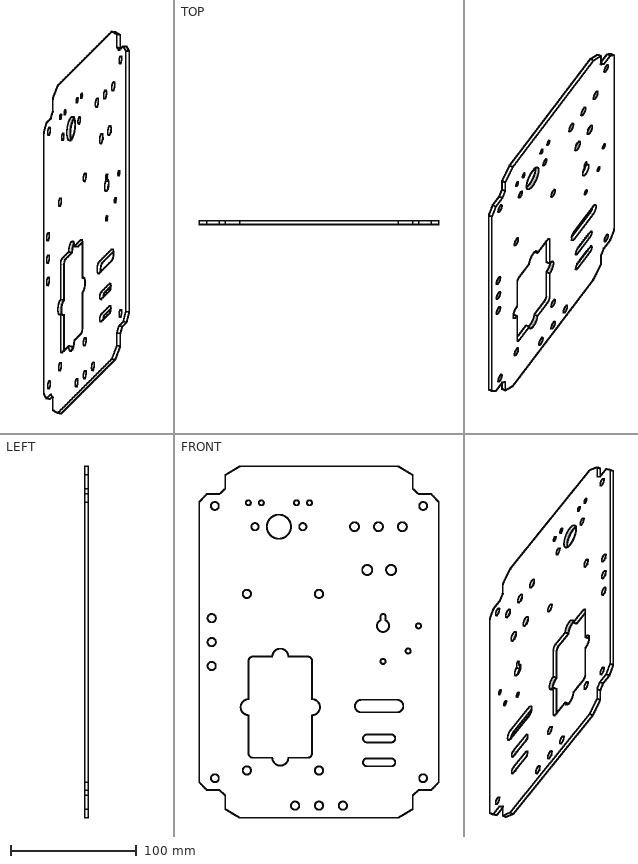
import cadquery as cq
import math

width = 190.5
height = 279.5
thickness = 3.0

notch_width = 20.7
notch_height = 22.0
notch_chamfer_x = 4.5
notch_chamfer_z = 4.2
end_chamfer_x = 11.7
end_chamfer_z = 7.0
side_chamfer_x = 6.1
side_chamfer_z = 6.5

tiny_hole = 4.0
small_hole = 5.5
corner_hole = 6.1
mount_hole = 6.5
switch_hole = 7.0
lamp_hole = 7.8
round_opening = 19.0

pitch = 19.0
corner_hole_x = 82.7
corner_hole_z = 108.0
side_row_x = -85.2
bottom_row_z = -130.0
socket_x = -31.9
socket_z = 91.6
socket_screw_offset = 19.0
pin_row_z = 110.6
inner_pin_offset = 14.0
outer_pin_offset = 24.3
switch_row_x = 47.2
lamp_row_x = 47.8
lamp_row_z = 57.3
device_left_x = -57.3
device_right_x = 0.0
device_top_z = 38.3
device_bottom_z = -102.0

window_x = -30.7
window_z = -51.7
window_width = 50.3
window_height = 80.2
window_corner_radius = 3.4
lobe_diameter = 12.5

slot_x = 47.8
wide_slot_z = -50.9
wide_slot_length = 38.3
wide_slot_height = 9.8
narrow_slot_top_z = -76.5
narrow_slot_length = 25.5
narrow_slot_height = 6.1

keyhole_x = 50.9
keyhole_z = 12.9
keyhole_diameter = 9.5
keyhole_neck_width = 3.5
keyhole_top_z = 22.4
guide_radius = 28.2
guide_angles = [0, -45, -90]


def xz_plane():
    """Workplane on the middle of the plate, with local x and y along X and Z."""
    return cq.Workplane("XZ")


def cutter(sketch):
    """Extrude a closed outline far enough to pass through the plate."""
    return sketch.extrude(thickness, both=True)


def round_holes(diameter, points):
    return cutter(xz_plane().pushPoints(points).circle(diameter / 2))


def plate():
    side = width / 2
    end = height / 2
    wall = side - notch_width
    floor = end - notch_height
    corner = [
        (side, floor - side_chamfer_z),
        (side - side_chamfer_x, floor),
        (wall + notch_chamfer_x, floor),
        (wall, floor + notch_chamfer_z),
        (wall, end - end_chamfer_z),
        (wall - end_chamfer_x, end),
    ]
    right_half = [(x, -z) for x, z in reversed(corner)] + corner
    left_half = [(-x, -z) for x, z in right_half]
    outline = xz_plane().polyline(right_half + left_half).close()
    return outline.extrude(thickness / 2, both=True)


def window():
    opening = cutter(xz_plane().center(window_x, window_z).rect(window_width, window_height))
    opening = opening.edges("|Y").fillet(window_corner_radius)
    lobe_centres = [
        (window_x - window_width / 2, window_z),
        (window_x + window_width / 2, window_z),
        (window_x, window_z - window_height / 2),
        (window_x, window_z + window_height / 2),
    ]
    return opening.union(round_holes(lobe_diameter, lobe_centres))


def slot(z, length, slot_height):
    return cutter(xz_plane().center(slot_x, z).slot2D(length, slot_height))


def keyhole():
    head = round_holes(keyhole_diameter, [(keyhole_x, keyhole_z)])
    neck_end_z = keyhole_top_z - keyhole_neck_width / 2
    neck_length = neck_end_z - keyhole_z
    neck_middle_z = (neck_end_z + keyhole_z) / 2
    neck = cutter(xz_plane().center(keyhole_x, neck_middle_z).rect(keyhole_neck_width, neck_length))
    neck_end = round_holes(keyhole_neck_width, [(keyhole_x, neck_end_z)])
    return head.union(neck).union(neck_end)


def guide_centre(angle):
    """Point on the guide circle, with the angle in degrees from +X towards +Z."""
    return (
        keyhole_x + guide_radius * math.cos(math.radians(angle)),
        keyhole_z + guide_radius * math.sin(math.radians(angle)),
    )


row_steps = [-pitch, 0, pitch]
pin_offsets = [-outer_pin_offset, -inner_pin_offset, inner_pin_offset, outer_pin_offset]

hole_groups = [
    (corner_hole, [(x, z) for x in (-corner_hole_x, corner_hole_x) for z in (-corner_hole_z, corner_hole_z)]),
    (mount_hole, [(side_row_x, step) for step in row_steps]),
    (mount_hole, [(step, bottom_row_z) for step in row_steps]),
    (mount_hole, [(x, z) for x in (device_left_x, device_right_x) for z in (device_top_z, device_bottom_z)]),
    (round_opening, [(socket_x, socket_z)]),
    (small_hole, [(socket_x - socket_screw_offset, socket_z), (socket_x + socket_screw_offset, socket_z)]),
    (tiny_hole, [(socket_x + offset, pin_row_z) for offset in pin_offsets]),
    (switch_hole, [(switch_row_x + step, socket_z) for step in row_steps]),
    (lamp_hole, [(lamp_row_x - pitch / 2, lamp_row_z), (lamp_row_x + pitch / 2, lamp_row_z)]),
    (tiny_hole, [guide_centre(angle) for angle in guide_angles]),
]

result = plate()
for diameter, centres in hole_groups:
    result = result.cut(round_holes(diameter, centres))
result = result.cut(window())
result = result.cut(keyhole())
result = result.cut(slot(wide_slot_z, wide_slot_length, wide_slot_height))
for z in (narrow_slot_top_z, narrow_slot_top_z - pitch):
    result = result.cut(slot(z, narrow_slot_length, narrow_slot_height))